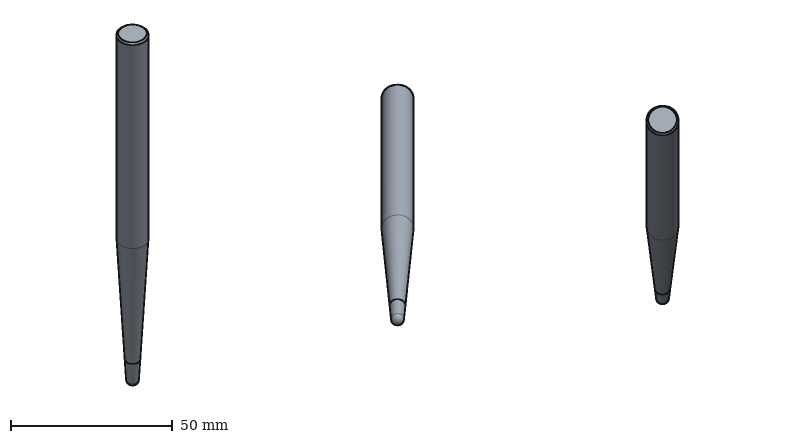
import cadquery as cq
import math

total_length = 140.05
shank_diameter = 10.0
end_chamfer = 0.6
nose_radius = 2.05
nose_center = 2.0
taper_half_angle = math.radians(3.0)
joint_height = 10.0

shank_radius = shank_diameter / 2
nose_bottom = nose_center - nose_radius
shank_top = nose_bottom + total_length
nose_rim_radius = nose_radius * math.cos(taper_half_angle)
nose_rim_height = nose_center - nose_radius * math.sin(taper_half_angle)
taper_slope = math.tan(taper_half_angle)
joint_radius = nose_rim_radius + (joint_height - nose_rim_height) * taper_slope
taper_top = nose_rim_height + (shank_radius - nose_rim_radius) / taper_slope


def revolve_about_z(half_profile):
    return half_profile.close().revolve(360, (0, 0, 0), (0, 1, 0))


def make_tip():
    """Ball-nosed tip whose tapered side is tangent to the ball."""
    middle_angle = (math.pi / 2 - taper_half_angle) / 2
    arc_middle = (
        nose_radius * math.sin(middle_angle),
        nose_center - nose_radius * math.cos(middle_angle),
    )
    half_profile = (
        cq.Workplane("XZ")
        .moveTo(0, nose_bottom)
        .threePointArc(arc_middle, (nose_rim_radius, nose_rim_height))
        .lineTo(joint_radius, joint_height)
        .lineTo(0, joint_height)
    )
    return revolve_about_z(half_profile)


def make_shank():
    """Tapered neck and cylindrical shank with a chamfered upper end."""
    half_profile = (
        cq.Workplane("XZ")
        .moveTo(0, joint_height)
        .lineTo(joint_radius, joint_height)
        .lineTo(shank_radius, taper_top)
        .lineTo(shank_radius, shank_top - end_chamfer)
        .lineTo(shank_radius - end_chamfer, shank_top)
        .lineTo(0, shank_top)
    )
    return revolve_about_z(half_profile)


tip = make_tip()
shank = make_shank()
result = cq.Compound.makeCompound([tip.val(), shank.val()])